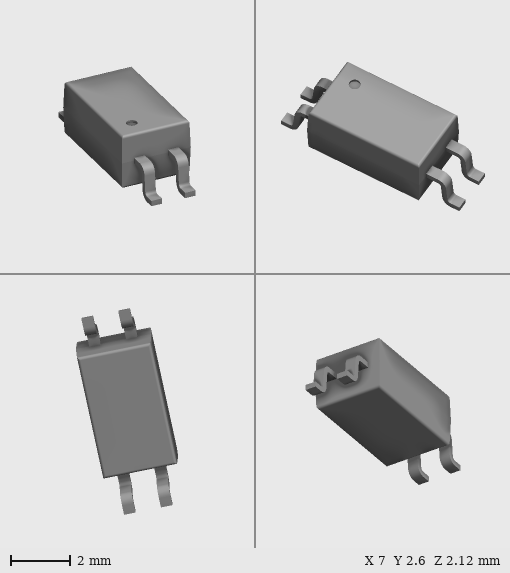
import cadquery as cq
import math

body_length = 4.4
body_width = 2.6
body_height = 2.0
standoff = 0.12
draft_angle = 2
edge_radius = 0.1
half_height = body_height / 2
parting_z = standoff + half_height
body_top = standoff + body_height

dimple_diameter = 0.4
dimple_depth = 0.1
dimple_x = 1.44
dimple_y = -0.545

overall_length = 7
lead_width = 0.4
lead_thickness = 0.2
lead_pitch = 1.27
inner_bend_radius = 0.13
outer_bend_radius = inner_bend_radius + lead_thickness
knee_x = 2.855
ankle_x = 2.955
lead_embed = 0.21


def make_body_half(direction):
    """Half of the body, tapering away from the parting plane; direction is 1 (up) or -1 (down)."""
    half = (
        cq.Workplane("XY")
        .rect(body_length, body_width)
        .extrude(direction * half_height, taper=draft_angle)
    )
    end_face = ">Z" if direction > 0 else "<Z"
    half = half.faces(end_face).edges().fillet(edge_radius)
    return half.translate((0, 0, parting_z))


def make_lead():
    """One lead on the +X end, centred on Y = 0, with its foot resting on Z = 0."""
    half_thickness = lead_thickness / 2
    root_x = body_length / 2 - lead_embed
    tip_x = overall_length / 2
    foot_z = half_thickness
    lean = math.atan2(ankle_x - knee_x, parting_z - foot_z)
    miter = half_thickness * math.tan((math.pi / 2 - lean) / 2)
    shank_top = parting_z + half_thickness
    shank_bottom = parting_z - half_thickness

    knee_outer = (knee_x + miter, shank_top)
    knee_inner = (knee_x - miter, shank_bottom)
    ankle_inner = (ankle_x + miter, lead_thickness)
    ankle_outer = (ankle_x - miter, 0)
    outline = [
        (root_x, shank_top),
        knee_outer,
        ankle_inner,
        (tip_x, lead_thickness),
        (tip_x, 0),
        ankle_outer,
        knee_inner,
        (root_x, shank_bottom),
    ]
    lead = cq.Workplane("XZ").polyline(outline).close().extrude(lead_width / 2, both=True)

    bends = [
        (knee_outer, outer_bend_radius),
        (knee_inner, inner_bend_radius),
        (ankle_inner, inner_bend_radius),
        (ankle_outer, outer_bend_radius),
    ]
    for (x, z), radius in bends:
        corner = cq.selectors.NearestToPointSelector((x, 0, z))
        lead = lead.edges("|Y").edges(corner).fillet(radius)
    return lead


def make_dimple():
    """Shallow round cutter reaching down from the top face."""
    return (
        cq.Workplane("XY", origin=(dimple_x, dimple_y, body_top))
        .circle(dimple_diameter / 2)
        .extrude(-dimple_depth)
    )


result = make_body_half(1).union(make_body_half(-1)).cut(make_dimple())

right_lead = make_lead()
left_lead = right_lead.mirror("YZ")
for y in (-lead_pitch / 2, lead_pitch / 2):
    for lead in (left_lead, right_lead):
        result = result.union(lead.translate((0, y, 0)))